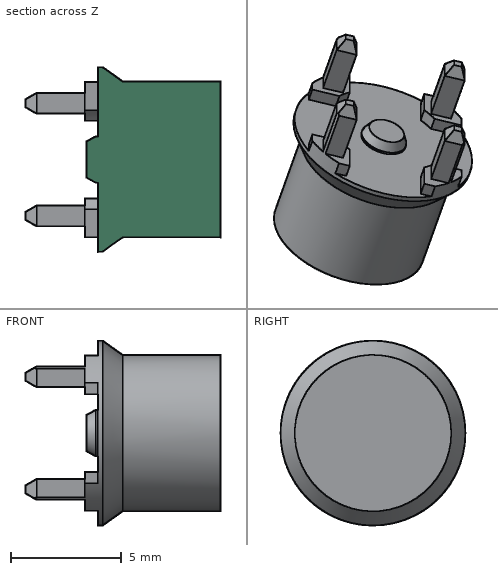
import cadquery as cq
import math


flange_radius = 8.35 / 2
body_radius = 3.53
flange_rim_length = 0.22
cone_end_x = 1.12
body_end_x = 5.54

boss_height = 0.52
boss_radius = 1.05
boss_tip_radius = 0.82
boss_straight_length = 0.1

pad_height = 0.58
pad_inner = 1.75
pad_outer = 3.51
pad_clearance_radius = 2.84

overall_length = 8.81
pin_pitch = 5.08
pin_width = 0.94
pin_tip_width = 0.36
pin_taper_angle = 30

pin_length = overall_length - body_end_x
pin_taper_length = (pin_width - pin_tip_width) / 2 / math.tan(math.radians(pin_taper_angle))


def make_body():
    profile = [
        (0, 0),
        (0, flange_radius),
        (flange_rim_length, flange_radius),
        (cone_end_x, body_radius),
        (body_end_x, body_radius),
        (body_end_x, 0),
    ]
    return cq.Workplane("XY").polyline(profile).close().revolve(360, (0, 0), (1, 0))


def make_boss():
    profile = [
        (0, 0),
        (-boss_height, 0),
        (-boss_height, boss_tip_radius),
        (-boss_straight_length, boss_radius),
        (0, boss_radius),
    ]
    return cq.Workplane("XY").polyline(profile).close().revolve(360, (0, 0), (1, 0))


def make_pad():
    """Square pad in the +Y +Z quadrant, its inner corner cut by a circle around the axis."""
    pad_centre = (pad_inner + pad_outer) / 2
    pad_width = pad_outer - pad_inner
    square = cq.Workplane("YZ").center(pad_centre, pad_centre).rect(pad_width, pad_width).extrude(-pad_height)
    clearance = cq.Workplane("YZ").circle(pad_clearance_radius).extrude(-pad_height)
    return square.cut(clearance)


def make_pin():
    """Square pin in the +Y +Z quadrant, ending in a truncated pyramid."""
    shank_length = pin_length - pin_taper_length
    offset = pin_pitch / 2
    shank = cq.Workplane("YZ").center(offset, offset).rect(pin_width, pin_width).extrude(-shank_length)
    tip = (
        cq.Workplane("YZ", origin=(-shank_length, 0, 0))
        .center(offset, offset)
        .rect(pin_width, pin_width)
        .workplane(offset=-pin_taper_length)
        .rect(pin_tip_width, pin_tip_width)
        .loft(ruled=True)
    )
    return shank.union(tip)


rim_envelope = cq.Workplane("YZ").circle(flange_radius).extrude(-pin_length)
terminal = make_pad().union(make_pin()).intersect(rim_envelope)

result = make_body().union(make_boss())
for quadrant in range(4):
    result = result.union(terminal.rotate((0, 0, 0), (1, 0, 0), 90 * quadrant))